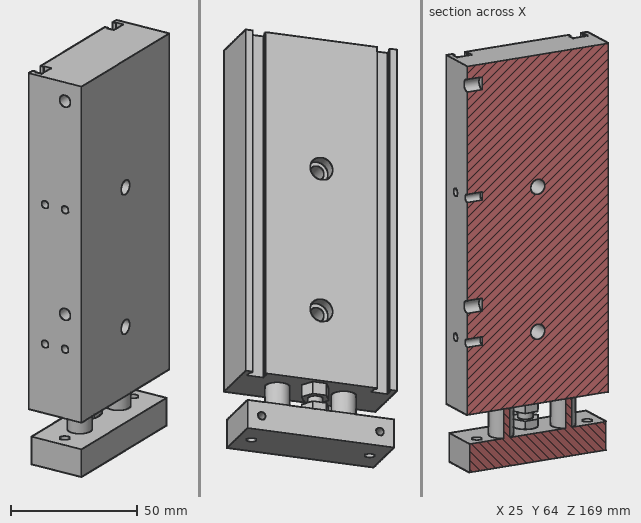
import cadquery as cq
import math

total_height = 169.0
end_plate_height = 12.0
rod_gap = 12.0

housing_thickness = 25.0
housing_width = 64.0
housing_bottom = end_plate_height + rod_gap
housing_height = total_height - housing_bottom
housing_face_x = -housing_thickness / 2
housing_side_y = -housing_width / 2

mount_hole_diameter = 6.0
counterbore_diameter = 9.5
counterbore_depth = 5.4
mount_levels = (53.9, 114.0)

side_hole_x = 4.7
screw_hole_diameter = 3.2
screw_hole_depth = 6.8
port_diameter = 5.0
port_depth = 6.8
port_levels = (69.0, 160.9)

slot_edge_distance = 3.0
slot_mouth_width = 5.4
slot_inner_width = 6.8
slot_lip = 1.5
slot_depth = 4.7
slot_center_y = housing_width / 2 - slot_edge_distance - slot_mouth_width / 2

plate_margin_y = 1.0
plate_margin_x = 0.7
plate_thickness = housing_thickness - 2 * plate_margin_x
plate_width = housing_width - 2 * plate_margin_y
plate_hole_diameter = 3.2
plate_hole_depth = 6.8
plate_hole_spacing = 50.0
plate_vertical_hole_diameter = 4.0
rod_diameter = 10.0
rod_spacing = 28.0

bolt_x = -5.4
shank_diameter = 6.0
hex_across_flats = 10.0
lower_hex_height = 3.7
hex_seat_diameter = 9.6
hex_chamfer_angle = 30
upper_hex_height = 5.0


def slot_cutter(center_y):
    """T-shaped groove running the full height of the housing."""
    origin = (housing_face_x, center_y, housing_bottom)
    mouth = cq.Workplane("XY", origin=origin).box(
        slot_lip, slot_mouth_width, housing_height, centered=(False, True, False)
    )
    inner = cq.Workplane("XY", origin=origin).box(
        slot_depth - slot_lip, slot_inner_width, housing_height, centered=(False, True, False)
    )
    return mouth.union(inner.translate((slot_lip, 0, 0)))


def hole_along_x(start_x, y, z, diameter, depth):
    """Cylinder from a -X face going toward +X."""
    return cq.Workplane("YZ", origin=(start_x, y, z)).circle(diameter / 2).extrude(depth)


def side_hole(x, z, diameter, depth):
    """Cylinder from the -Y side of the housing going toward +Y."""
    return cq.Workplane("XZ", origin=(x, housing_side_y, z)).circle(diameter / 2).extrude(-depth)


def make_housing():
    body = cq.Workplane("XY", origin=(0, 0, housing_bottom)).box(
        housing_thickness, housing_width, housing_height, centered=(True, True, False)
    )
    for y in (-slot_center_y, slot_center_y):
        body = body.cut(slot_cutter(y))
    for z in mount_levels:
        body = body.cut(hole_along_x(housing_face_x, 0, z, mount_hole_diameter, housing_thickness))
        body = body.cut(hole_along_x(housing_face_x, 0, z, counterbore_diameter, counterbore_depth))
        for x in (-side_hole_x, side_hole_x):
            body = body.cut(side_hole(x, z, screw_hole_diameter, screw_hole_depth))
    for z in port_levels:
        body = body.cut(side_hole(side_hole_x, z, port_diameter, port_depth))
    return body


def make_rod_carriage():
    """End plate joined to the two guide rods, which end at the housing."""
    plate = cq.Workplane("XY").box(
        plate_thickness, plate_width, end_plate_height, centered=(True, True, False)
    )
    for y in (-plate_hole_spacing / 2, plate_hole_spacing / 2):
        plate = plate.cut(
            hole_along_x(-plate_thickness / 2, y, end_plate_height / 2, plate_hole_diameter, plate_hole_depth)
        )
        vertical_hole = cq.Workplane("XY", origin=(0, y, 0)).circle(plate_vertical_hole_diameter / 2)
        plate = plate.cut(vertical_hole.extrude(end_plate_height))
    rods = (
        cq.Workplane("XY", origin=(0, 0, end_plate_height))
        .pushPoints([(0, -rod_spacing / 2), (0, rod_spacing / 2)])
        .circle(rod_diameter / 2)
        .extrude(rod_gap)
    )
    return plate.union(rods)


def hexagon(bottom, height):
    """Hexagonal prism on the bolt axis with its corners toward +Y and -Y."""
    return (
        cq.Workplane("XY", origin=(bolt_x, 0, bottom))
        .polygon(6, hex_across_flats, circumscribed=True)
        .extrude(height)
    )


def chamfer_cone():
    """Cone that rounds off the lower corners of the lower hexagon."""
    bottom_radius = hex_seat_diameter / 2
    spread = lower_hex_height / math.tan(math.radians(hex_chamfer_angle))
    return cq.Workplane(
        cq.Solid.makeCone(
            bottom_radius,
            bottom_radius + spread,
            lower_hex_height,
            pnt=cq.Vector(bolt_x, 0, end_plate_height),
            dir=cq.Vector(0, 0, 1),
        )
    )


def make_stopper_bolt():
    shank = cq.Workplane("XY", origin=(bolt_x, 0, end_plate_height)).circle(shank_diameter / 2).extrude(rod_gap)
    lower_hex = hexagon(end_plate_height, lower_hex_height).intersect(chamfer_cone())
    upper_hex = hexagon(housing_bottom - upper_hex_height, upper_hex_height)
    return shank.union(lower_hex).union(upper_hex)


housing = make_housing()
rod_carriage = make_rod_carriage()
stopper_bolt = make_stopper_bolt()

result = cq.Compound.makeCompound([housing.val(), rod_carriage.val(), stopper_bolt.val()])